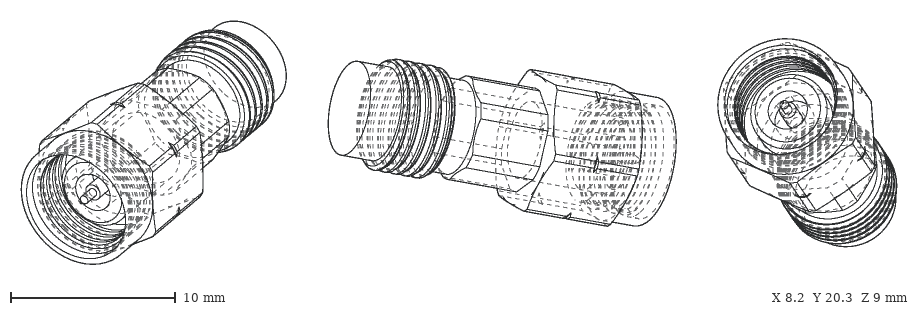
import cadquery as cq
import math


NUT_FRONT = 0.0
NUT_HEX_FRONT = 2.42
NUT_REAR = 8.4
BODY_HEX_REAR = 13.15
THREAD_FRONT = 14.72
THREAD_REAR = 18.2
BODY_REAR = 20.3

PITCH = 0.71
GROOVE_OVERSHOOT = 0.06

NUT_ACROSS_FLATS = 8.0
NUT_CORNER_DIAMETER = 9.0
NUT_CORNER_RADIUS = NUT_CORNER_DIAMETER / 2
NUT_CORNER_ANGLE = 33.0
NUT_BEVEL_RADIUS = 4.0
NUT_BEVEL_LENGTH = 0.16
MARK_DEPTH = 0.15
MARK_HALF_WIDTH = 0.1
SLEEVE_RADIUS = 3.98
SLEEVE_ROUNDING = 0.26
MOUTH_RADIUS = 3.5
MOUTH_DEPTH = 0.71
MOUTH_TAPER = 0.35
NUT_BORE_RADIUS = 3.13
NUT_FLOOR = 4.05
NUT_GROOVE_DEPTH = 0.3
NUT_GROOVE_WIDTH = 0.28
NUT_GROOVE_ROOT = 0.05
NUT_GROOVE_START = 0.16
NUT_GROOVE_TURNS = 5

PLUG_FRONT = 2.03
PLUG_RADIUS = 2.38
PLUG_BEVEL = 0.35
PLUG_BORE_RADIUS = 1.22
PLUG_BORE_DEPTH = 2.03
BODY_ACROSS_FLATS = 6.0
BODY_CORNER_RADIUS = 3.2
BODY_BEVEL_LENGTH = 0.2
BARREL_RADIUS = 2.9
THREAD_RADIUS = 3.45
THREAD_BEVEL = 0.22
BODY_GROOVE_DEPTH = 0.2
BODY_GROOVE_WIDTH = 0.53
BODY_GROOVE_ROOT = 0.05
BODY_GROOVE_START = 13.9
BODY_GROOVE_TURNS = 7

PIN_TIP = 0.57
PIN_TIP_RADIUS = 0.06
PIN_TAPER_LENGTH = 0.4
PIN_RADIUS = 0.26
PIN_SHANK_RADIUS = 0.5
PIN_SEAT_DEPTH = 1.02
PIN_END = PLUG_FRONT + PLUG_BORE_DEPTH + PIN_SEAT_DEPTH


def turned(outline):
    """Solid of revolution about the Y axis from closed (radius, y) points.

    Its seam is on the -X side, away from the +X side where the thread grooves start.
    """
    seam_side = [(-radius, y) for radius, y in outline]
    return cq.Workplane("XY").polyline(seam_side).close().revolve(360, (0, 0), (0, 1))


def cylinder(radius, front, rear):
    return turned([(0, front), (radius, front), (radius, rear), (0, rear)])


def hexagon_bar(across_flats, corner_angle, front, rear):
    """Hexagonal bar along Y with one corner turned from +X towards +Z."""
    across_corners = across_flats / math.cos(math.radians(30))
    return (
        cq.Workplane("XZ", origin=(0, front, 0))
        .transformed(rotate=(0, 0, corner_angle))
        .polygon(6, across_corners)
        .extrude(front - rear)
    )


def groove_tool(mouth_radius, root_radius, mouth_width, root_width, start, turns):
    """Helical cutter along Y whose trapezoid section narrows from the mouth to the root."""
    depth = abs(mouth_radius - root_radius)
    widening = (mouth_width - root_width) * GROOVE_OVERSHOOT / depth
    outward = math.copysign(GROOVE_OVERSHOOT, mouth_radius - root_radius)
    open_radius = mouth_radius + outward
    half_mouth = (mouth_width + widening) / 2
    half_root = root_width / 2
    helix = cq.Wire.makeHelix(PITCH, turns * PITCH, root_radius)
    section = [
        (root_radius, -half_root),
        (open_radius, -half_mouth),
        (open_radius, half_mouth),
        (root_radius, half_root),
    ]
    tool = cq.Workplane("XZ").polyline(section).close().sweep(cq.Workplane(helix), isFrenet=True)
    return tool.rotate((0, 0, 0), (1, 0, 0), -90).translate((0, start, 0))


def make_nut():
    mark = (NUT_HEX_FRONT + NUT_REAR) / 2
    envelope = turned([
        (0, NUT_FRONT),
        (SLEEVE_RADIUS, NUT_FRONT),
        (SLEEVE_RADIUS, NUT_HEX_FRONT),
        (NUT_BEVEL_RADIUS, NUT_HEX_FRONT),
        (NUT_CORNER_RADIUS, NUT_HEX_FRONT + NUT_BEVEL_LENGTH),
        (NUT_CORNER_RADIUS, mark - MARK_HALF_WIDTH),
        (NUT_CORNER_RADIUS - MARK_DEPTH, mark),
        (NUT_CORNER_RADIUS, mark + MARK_HALF_WIDTH),
        (NUT_CORNER_RADIUS, NUT_REAR - NUT_BEVEL_LENGTH),
        (NUT_BEVEL_RADIUS, NUT_REAR),
        (0, NUT_REAR),
    ])
    envelope = envelope.faces("<Y").edges().fillet(SLEEVE_ROUNDING)
    bar = hexagon_bar(NUT_ACROSS_FLATS, NUT_CORNER_ANGLE, NUT_FRONT, NUT_REAR)
    cavity = turned([
        (0, NUT_FRONT),
        (MOUTH_RADIUS, NUT_FRONT),
        (MOUTH_RADIUS, NUT_FRONT + MOUTH_DEPTH),
        (NUT_BORE_RADIUS, NUT_FRONT + MOUTH_DEPTH + MOUTH_TAPER),
        (NUT_BORE_RADIUS, NUT_FLOOR),
        (PLUG_RADIUS, NUT_FLOOR),
        (PLUG_RADIUS, NUT_REAR),
        (0, NUT_REAR),
    ])
    groove = groove_tool(
        NUT_BORE_RADIUS,
        NUT_BORE_RADIUS + NUT_GROOVE_DEPTH,
        NUT_GROOVE_WIDTH,
        NUT_GROOVE_ROOT,
        NUT_GROOVE_START,
        NUT_GROOVE_TURNS,
    )
    return envelope.intersect(bar).cut(cavity).cut(groove)


def make_body_hexagon():
    envelope = turned([
        (0, NUT_REAR),
        (BODY_CORNER_RADIUS, NUT_REAR),
        (BODY_CORNER_RADIUS, BODY_HEX_REAR - BODY_BEVEL_LENGTH),
        (BARREL_RADIUS, BODY_HEX_REAR),
        (0, BODY_HEX_REAR),
    ])
    return envelope.intersect(hexagon_bar(BODY_ACROSS_FLATS, 0, NUT_REAR, BODY_HEX_REAR))


def make_body_thread():
    blank = cylinder(THREAD_RADIUS, THREAD_FRONT, THREAD_REAR)
    blank = blank.faces("<Y or >Y").edges().chamfer(THREAD_BEVEL)
    groove = groove_tool(
        THREAD_RADIUS,
        THREAD_RADIUS - BODY_GROOVE_DEPTH,
        BODY_GROOVE_WIDTH,
        BODY_GROOVE_ROOT,
        BODY_GROOVE_START,
        BODY_GROOVE_TURNS,
    )
    return blank.cut(groove)


def make_body():
    plug = cylinder(PLUG_RADIUS, PLUG_FRONT, NUT_REAR)
    plug = plug.faces("<Y").edges().chamfer(PLUG_BEVEL)
    barrel = cylinder(BARREL_RADIUS, BODY_HEX_REAR, BODY_REAR)
    bore = cylinder(PLUG_BORE_RADIUS, PLUG_FRONT, PLUG_FRONT + PLUG_BORE_DEPTH)
    pin_seat = cylinder(PIN_SHANK_RADIUS, PLUG_FRONT, PIN_END)
    solid = plug.union(make_body_hexagon()).union(barrel).union(make_body_thread())
    return solid.cut(bore).cut(pin_seat)


def make_pin():
    return turned([
        (0, PIN_TIP),
        (PIN_TIP_RADIUS, PIN_TIP),
        (PIN_RADIUS, PIN_TIP + PIN_TAPER_LENGTH),
        (PIN_RADIUS, PLUG_FRONT),
        (PIN_SHANK_RADIUS, PLUG_FRONT),
        (PIN_SHANK_RADIUS, PIN_END),
        (0, PIN_END),
    ])


nut = make_nut()
body = make_body()
pin = make_pin()

result = cq.Compound.makeCompound([nut.solids().val(), body.solids().val(), pin.solids().val()])